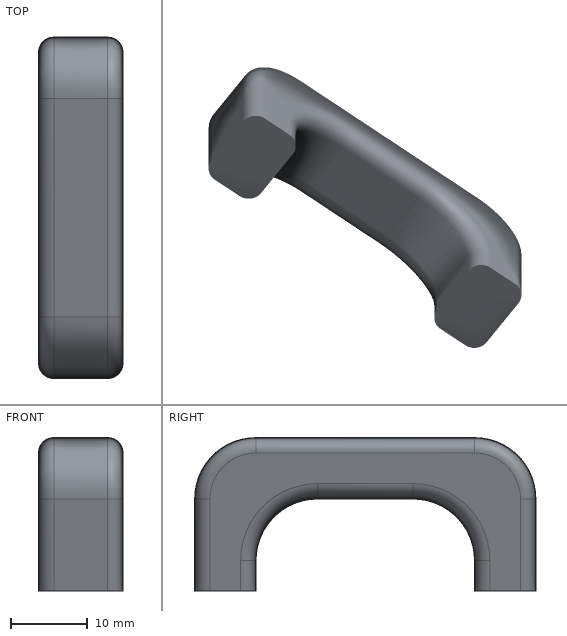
import cadquery as cq

handle_width = 11.0
handle_length = 44.5
handle_height = 20.0
grip_thickness = 8.0
outer_bend_radius = 8.0
inner_bend_radius = 8.0
edge_radius = 2.0

opening_length = handle_length - 2 * grip_thickness
opening_height = handle_height - grip_thickness


def arch_block(length, height, bend_radius):
    """Block standing on Z = 0 whose two upper corners are rounded in the YZ plane."""
    block = cq.Workplane("XY").box(handle_width, length, height, centered=(True, True, False))
    return block.edges("|X and >Z").fillet(bend_radius)


def make_handle():
    """Bow handle with rounded side edges and flat feet."""
    outer = arch_block(handle_length, handle_height, outer_bend_radius)
    opening = arch_block(opening_length, opening_height, inner_bend_radius)
    bow = outer.cut(opening)

    side_edges = bow.faces("<X or >X").edges("not <Z")
    return bow.newObject(side_edges.vals()).fillet(edge_radius)


result = make_handle()